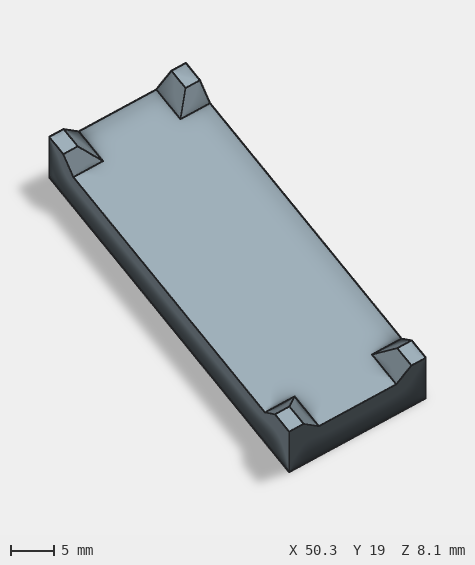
import cadquery as cq

length = 50.3
width = 19.0
height = 8.1

post_height = 2.1
post_top_length = 2.95
post_top_width = 2.0
post_base_length = post_top_length + post_height
post_base_width = post_top_width + post_height

deck_height = height - post_height


def channel(top_width, bottom_width, run):
    """Sloped-sided channel through the top, running along Y for the given distance."""
    return (
        cq.Workplane("XZ")
        .polyline([
            (-bottom_width / 2, deck_height),
            (bottom_width / 2, deck_height),
            (top_width / 2, height),
            (-top_width / 2, height),
        ])
        .close()
        .extrude(run / 2, both=True)
    )


block = cq.Workplane("XY").box(length, width, height, centered=(True, True, False))
cross_channel = channel(length - 2 * post_top_length, length - 2 * post_base_length, width)
long_channel = channel(
    width - 2 * post_top_width, width - 2 * post_base_width, length
).rotate((0, 0, 0), (0, 0, 1), 90)

result = block.cut(cross_channel).cut(long_channel)